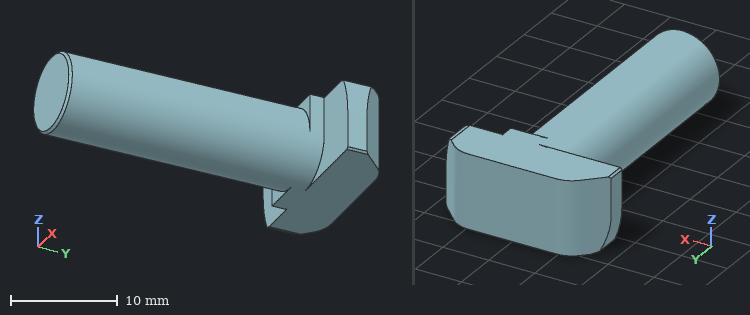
import cadquery as cq
import math


shank_diameter = 8.0
shank_length = 26.5
tip_chamfer = 0.25

head_length = 18.0
head_height = shank_diameter
head_thickness = 5.0
head_bevel = 3.0
bevel_blend_radius = 3.0

end_arc_radius = head_length / 2
end_arc_centre_z = -0.12
small_chamfer = 0.2
swept_chamfer_width = 0.55
swept_chamfer_height = 0.2

neck_depth = 1.5

half_length = head_length / 2
half_height = head_height / 2
shank_radius = shank_diameter / 2


def head_end_points(side):
    """Outline points (X, Z) of one head end, from its flat corner to its swept corner."""
    arc_end_z = side * (half_height - swept_chamfer_height)
    arc_angle = math.asin((arc_end_z - end_arc_centre_z) / end_arc_radius)
    arc_end_x = side * end_arc_radius * math.cos(arc_angle)
    arc_middle_x = side * end_arc_radius * math.cos(arc_angle / 2)
    arc_middle_z = end_arc_centre_z + end_arc_radius * math.sin(arc_angle / 2)
    return [
        (side * (half_length - small_chamfer), -side * half_height),
        (side * half_length, -side * (half_height - small_chamfer)),
        (side * half_length, end_arc_centre_z),
        (arc_middle_x, arc_middle_z),
        (arc_end_x, arc_end_z),
        (arc_end_x - side * swept_chamfer_width, side * half_height),
    ]


def make_head_outline():
    """Closed head outline in XZ, running around the left end and then the right end."""
    left_end = head_end_points(-1)
    right_end = head_end_points(1)
    outline = cq.Workplane("XZ").moveTo(*right_end[-1])
    for end in (left_end, right_end):
        flat_corner, flat_start, arc_start, arc_middle, arc_end, swept_corner = end
        outline = outline.lineTo(*flat_corner).lineTo(*flat_start).lineTo(*arc_start)
        outline = outline.threePointArc(arc_middle, arc_end).lineTo(*swept_corner)
    return outline.close()


def make_head():
    """Head block with turning arcs, chamfered corners and bevelled back."""
    block = make_head_outline().extrude(-head_thickness)
    return block.intersect(make_bevel_envelope())


def make_bevel_envelope():
    """Head profile in XY: 45 degree bevels blended into the flat back."""
    shoulder_y = head_thickness - head_bevel
    profile = (
        cq.Workplane("XY")
        .workplane(offset=-half_height)
        .moveTo(-half_length, 0)
        .lineTo(half_length, 0)
        .lineTo(half_length, shoulder_y)
        .lineTo(half_length - head_bevel, head_thickness)
        .lineTo(head_bevel - half_length, head_thickness)
        .lineTo(-half_length, shoulder_y)
        .close()
    )
    return profile.extrude(head_height).edges("|Z and >Y").fillet(bevel_blend_radius)


def make_shank():
    """Round shank with a chamfered tip."""
    shank = cq.Workplane("XZ").circle(shank_radius).extrude(shank_length)
    return shank.faces("<Y").chamfer(tip_chamfer)


def make_neck():
    """Square quarters under the head at two diagonally opposite corners."""
    neck = cq.Workplane("XZ")
    for side in (1, -1):
        centre = side * shank_radius / 2
        neck = neck.moveTo(centre, centre).rect(shank_radius, shank_radius)
    return neck.extrude(neck_depth)


result = make_shank().union(make_head()).union(make_neck())